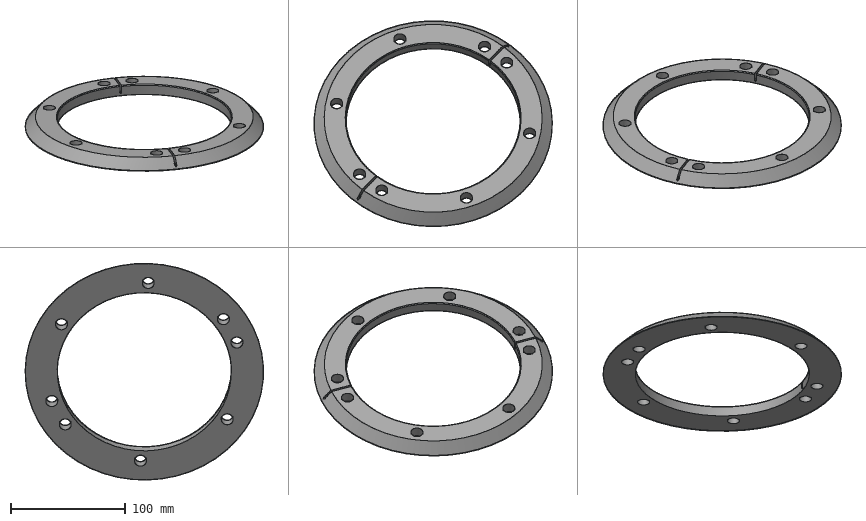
import cadquery as cq
import math

outer_radius = 104.3
bore_radius = 76.1
thickness = 9.5
rim_height = 0.6
bevel = thickness - rim_height
bore_chamfer = 0.8

hole_diameter = 10.5
hole_circle_radius = 85.7
hole_angles = (8.5, 60.0)

groove_width = 1.7
groove_tip = 2.0
groove_shoulder = groove_tip + groove_width / 2


def ring_body():
    """Revolve the bevelled cross-section about the Z axis."""
    profile = (
        cq.Workplane("XZ")
        .moveTo(bore_radius, 0)
        .lineTo(outer_radius, 0)
        .lineTo(outer_radius, rim_height)
        .lineTo(outer_radius - bevel, thickness)
        .lineTo(bore_radius + bore_chamfer, thickness)
        .lineTo(bore_radius, thickness - bore_chamfer)
        .close()
    )
    return profile.revolve(360, (0, 0, 0), (0, 1, 0))


def hole_cutters():
    """Cylinders through the full thickness at every hole position."""
    centers = []
    for angle in hole_angles:
        x = hole_circle_radius * math.cos(math.radians(angle))
        y = hole_circle_radius * math.sin(math.radians(angle))
        centers += [(x, y), (-x, y), (-x, -y), (x, -y)]
    return cq.Workplane("XY").pushPoints(centers).circle(hole_diameter / 2).extrude(thickness)


def groove_cutter():
    """V-bottomed groove spanning the whole ring on both sides of the bore."""
    half_width = groove_width / 2
    profile = (
        cq.Workplane("YZ")
        .moveTo(0, groove_tip)
        .lineTo(half_width, groove_shoulder)
        .lineTo(half_width, thickness)
        .lineTo(-half_width, thickness)
        .lineTo(-half_width, groove_shoulder)
        .close()
    )
    return profile.extrude(outer_radius, both=True)


result = ring_body().cut(hole_cutters()).cut(groove_cutter())